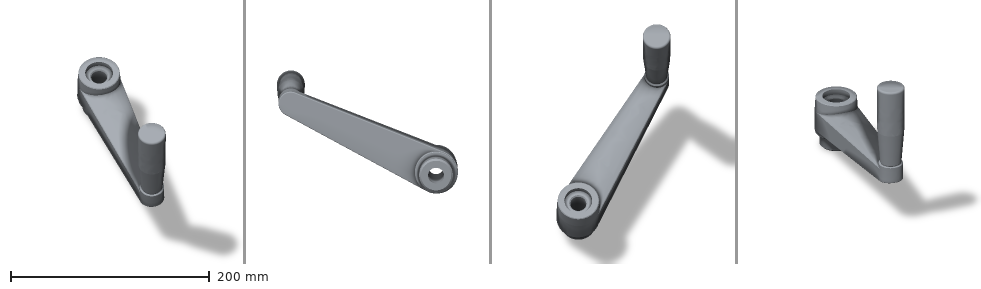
import cadquery as cq
import math

crank_radius = 160.0
total_height = 146.76

boss_diameter = 34.0
boss_height = 15.0
boss_chamfer = 1.8

hub_top_diameter = 41.6
hub_top_z = 55.0
hub_top_chamfer = 0.7
shoulder_z = 41.0
hub_bulge = 0.04
collar_diameter = 42.6
collar_chamfer = 0.6
bore_diameter = 16.0
bore_chamfer = 1.2
counterbore_diameter = 28.0
counterbore_depth = 6.0

arm_base_z = 15.4
arm_hub_radius = 22.12
arm_tip_radius = 12.9
arm_draft = 0.85
underside_slope = 8.0
arm_top_bevel = 0.7
arm_underside_fillet = 1.0
tip_edge_z = 56.0
hub_ridge_z = 44.6
tip_ridge_z = 58.0
crown_margin = 1.0

seat_diameter = 24.7
seat_top_z = 60.5
seat_chamfer = 0.5
handle_foot_diameter = 21.6
handle_foot_chamfer = 0.5
handle_foot_z = 61.6
handle_waist_diameter = 27.2
handle_waist_z = 96.9
handle_diameter = 28.0
handle_end_fillet = 2.0
grip_bulge = 0.12

draft_slope = math.tan(math.radians(arm_draft))


def drafted_radius(base_radius, z):
    """Radius of a drafted arm end at height z."""
    return base_radius - (z - arm_base_z) * draft_slope


def tangent_point(center_x, radius):
    """Plan point where a straight arm side touches the end circle of this radius."""
    tangent_sine = (arm_hub_radius - arm_tip_radius) / crank_radius
    return center_x + radius * tangent_sine, radius * math.sqrt(1 - tangent_sine**2)


def make_arm_blank():
    """Drafted slab whose plan is two end circles joined by their tangents."""
    hub_x, hub_y = tangent_point(0, arm_hub_radius)
    tip_x, tip_y = tangent_point(crank_radius, arm_tip_radius)
    return (
        cq.Workplane("XY", origin=(0, 0, arm_base_z))
        .moveTo(hub_x, hub_y)
        .threePointArc((-arm_hub_radius, 0), (hub_x, -hub_y))
        .lineTo(tip_x, -tip_y)
        .threePointArc((crank_radius + arm_tip_radius, 0), (tip_x, tip_y))
        .close()
        .extrude(seat_top_z - arm_base_z, taper=arm_draft)
    )


def make_crown_section(x, half_width, edge_z, ridge_z):
    """Closed YZ section: an arched top with beveled edges that carry on past the arm sides."""
    rise = ridge_z - edge_z
    arch_radius = (half_width**2 + rise**2) / (2 * rise)
    arch_y = half_width - arm_top_bevel
    arch_z = ridge_z - arch_radius + math.sqrt(arch_radius**2 - arch_y**2)
    outer_y = half_width + crown_margin
    outer_z = arch_z - (outer_y - arch_y)
    return (
        cq.Workplane("YZ", origin=(x, 0, 0))
        .moveTo(-outer_y, 0)
        .lineTo(-outer_y, outer_z)
        .lineTo(-arch_y, arch_z)
        .threePointArc((0, ridge_z), (arch_y, arch_z))
        .lineTo(outer_y, outer_z)
        .lineTo(outer_y, 0)
        .close()
        .wires()
        .val()
    )


def make_arm_crown():
    """Space under the arched top surface, along the straight sides of the arm."""
    hub_x, hub_half_width = tangent_point(0, drafted_radius(arm_hub_radius, shoulder_z))
    tip_x, tip_half_width = tangent_point(crank_radius, drafted_radius(arm_tip_radius, tip_edge_z))
    sections = [
        make_crown_section(hub_x, hub_half_width, shoulder_z, hub_ridge_z),
        make_crown_section(tip_x, tip_half_width, tip_edge_z, tip_ridge_z),
    ]
    return cq.Workplane(cq.Solid.makeLoft(sections, True))


def make_side_slab(points):
    """Slab across the full arm width with the given XZ outline."""
    slab_width = 3 * arm_hub_radius
    return cq.Workplane("XZ", origin=(0, slab_width / 2, 0)).polyline(points).close().extrude(slab_width)


def make_arm():
    """Drafted arm: level over both ends, arched between them, sloping underneath."""
    start_x = -arm_hub_radius
    end_x = crank_radius + arm_tip_radius
    hub_x = tangent_point(0, drafted_radius(arm_hub_radius, shoulder_z))[0]
    tip_x = tangent_point(crank_radius, drafted_radius(arm_tip_radius, tip_edge_z))[0]
    end_z = arm_base_z + (end_x - start_x) * math.tan(math.radians(underside_slope))
    hub_slab = make_side_slab([(start_x, 0), (hub_x, 0), (hub_x, shoulder_z), (start_x, shoulder_z)])
    tip_slab = make_side_slab([(tip_x, 0), (end_x, 0), (end_x, tip_edge_z), (tip_x, tip_edge_z)])
    below_arm = make_side_slab([(start_x, arm_base_z), (end_x, end_z), (end_x, 0), (start_x, 0)])
    envelope = make_arm_crown().union(hub_slab).union(tip_slab).cut(below_arm)
    arm = make_arm_blank().intersect(envelope)
    return arm.faces("<Z").edges().fillet(arm_underside_fillet)


def make_hub():
    """Hub body: lower collar and inward-bowed upper wall."""
    shoulder_radius = drafted_radius(arm_hub_radius, shoulder_z)
    collar_radius = collar_diameter / 2
    top_radius = hub_top_diameter / 2
    middle_radius = (shoulder_radius + top_radius) / 2 + hub_bulge
    middle_z = (shoulder_z + hub_top_z) / 2
    return (
        cq.Workplane("XZ")
        .moveTo(0, boss_height)
        .lineTo(collar_radius - collar_chamfer, boss_height)
        .lineTo(collar_radius, boss_height + collar_chamfer)
        .lineTo(collar_radius, shoulder_z)
        .lineTo(shoulder_radius, shoulder_z)
        .threePointArc((middle_radius, middle_z), (top_radius, hub_top_z))
        .lineTo(0, hub_top_z)
        .close()
        .revolve(360, (0, 0, 0), (0, 1, 0))
        .faces(">Z")
        .edges()
        .chamfer(hub_top_chamfer)
    )


def make_boss():
    """Plain cylinder below the hub with a chamfered lower rim."""
    return (
        cq.Workplane("XY")
        .circle(boss_diameter / 2)
        .extrude(boss_height)
        .faces("<Z")
        .edges()
        .chamfer(boss_chamfer)
    )


def make_seat():
    """Round pad on the arm tip that carries the handle."""
    return (
        cq.Workplane("XY", origin=(crank_radius, 0, tip_edge_z))
        .circle(seat_diameter / 2)
        .extrude(seat_top_z - tip_edge_z)
        .faces(">Z")
        .edges()
        .chamfer(seat_chamfer)
    )


def make_handle():
    """Turned handle that widens to a waist and then to a rounded grip."""
    foot_radius = handle_foot_diameter / 2
    waist_radius = handle_waist_diameter / 2
    grip_radius = handle_diameter / 2
    grip_top_z = total_height - handle_end_fillet
    grip_middle = ((waist_radius + grip_radius) / 2 + grip_bulge, (handle_waist_z + grip_top_z) / 2)
    corner_offset = handle_end_fillet * (1 - math.sqrt(0.5))
    return (
        cq.Workplane("XZ")
        .moveTo(0, seat_top_z)
        .lineTo(foot_radius - handle_foot_chamfer, seat_top_z)
        .lineTo(foot_radius, handle_foot_z)
        .lineTo(waist_radius, handle_waist_z)
        .threePointArc(grip_middle, (grip_radius, grip_top_z))
        .threePointArc(
            (grip_radius - corner_offset, total_height - corner_offset),
            (grip_radius - handle_end_fillet, total_height),
        )
        .lineTo(0, total_height)
        .close()
        .revolve(360, (0, 0, 0), (0, 1, 0))
        .translate((crank_radius, 0, 0))
    )


def cut_bore(body):
    """Through bore, top counterbore and the chamfer between them."""
    floor_z = hub_top_z - counterbore_depth
    bore_radius = bore_diameter / 2
    counterbore_radius = counterbore_diameter / 2
    cutter = (
        cq.Workplane("XZ")
        .lineTo(bore_radius, 0)
        .lineTo(bore_radius, floor_z - bore_chamfer)
        .lineTo(bore_radius + bore_chamfer, floor_z)
        .lineTo(counterbore_radius, floor_z)
        .lineTo(counterbore_radius, hub_top_z)
        .lineTo(0, hub_top_z)
        .close()
        .revolve(360, (0, 0, 0), (0, 1, 0))
    )
    return body.cut(cutter)


crank = make_arm().union(make_hub()).union(make_boss()).union(make_seat()).union(make_handle())
result = cut_bore(crank)